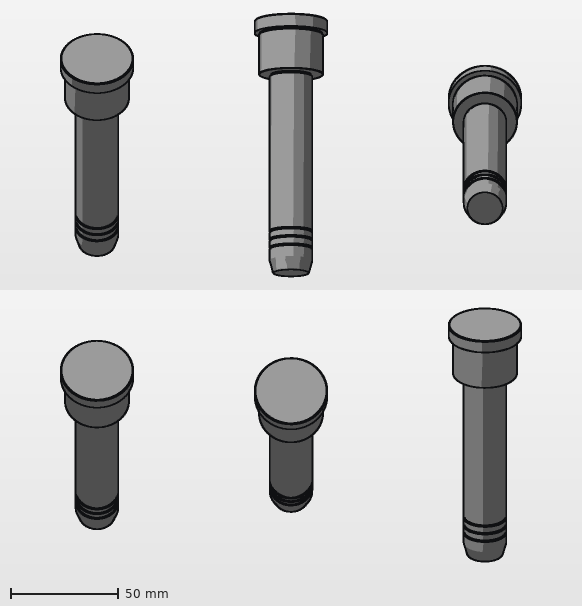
import cadquery as cq
import math

total_length = 120.0
head_diameter = 34.0
head_height = 6.0
head_chamfer = 0.5
body_diameter = 30.0
body_bottom_chamfer = 0.2
body_bottom = 94.3
shaft_diameter = 20.0

body_relief_depth = 0.5
body_relief_height = 0.5
shaft_relief_depth = 0.7
shaft_relief_height = 0.4

taper_height = 6.0
taper_angle = 15.0
tip_chamfer_height = 0.6
tip_chamfer_width = 0.4

groove_count = 3
groove_width = 1.0
groove_depth = 0.5
groove_pitch = 4.0
lowest_groove = 11.6

head_radius = head_diameter / 2
body_radius = body_diameter / 2
shaft_radius = shaft_diameter / 2
head_bottom = total_length - head_height
tip_radius = shaft_radius - (taper_height - tip_chamfer_height) * math.tan(math.radians(taper_angle))
body_relief_radius = body_radius - body_relief_depth
body_relief_bottom = head_bottom - body_relief_height
shaft_relief_radius = shaft_radius - shaft_relief_depth
shaft_relief_bottom = body_bottom - shaft_relief_height


def turned_pin():
    """Revolve the half profile (radius, height) about Z."""
    half_profile = [
        (0, 0),
        (tip_radius - tip_chamfer_width, 0),
        (tip_radius, tip_chamfer_height),
        (shaft_radius, taper_height),
        (shaft_radius, shaft_relief_bottom - shaft_relief_depth),
        (shaft_relief_radius, shaft_relief_bottom),
        (shaft_relief_radius, body_bottom),
        (body_radius - body_bottom_chamfer, body_bottom),
        (body_radius, body_bottom + body_bottom_chamfer),
        (body_radius, body_relief_bottom - body_relief_depth),
        (body_relief_radius, body_relief_bottom),
        (body_relief_radius, head_bottom),
        (head_radius, head_bottom),
        (head_radius, total_length - head_chamfer),
        (head_radius - head_chamfer, total_length),
        (0, total_length),
    ]
    return cq.Workplane("XZ").polyline(half_profile).close().revolve(360, (0, 0), (0, 1))


def groove_ring(height):
    """Triangular ring that cuts a V groove around the shaft, centred on the given height."""
    section = [
        (shaft_radius, height - groove_width / 2),
        (shaft_radius - groove_depth, height),
        (shaft_radius, height + groove_width / 2),
        (shaft_radius + groove_depth, height),
    ]
    return cq.Workplane("XZ").polyline(section).close().revolve(360, (0, 0), (0, 1))


result = turned_pin()
for index in range(groove_count):
    result = result.cut(groove_ring(lowest_groove + index * groove_pitch))